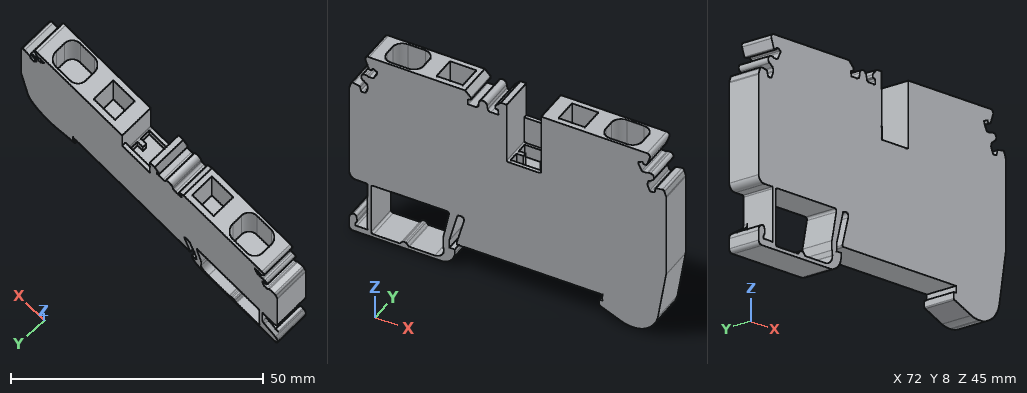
import cadquery as cq
import math


LENGTH = 72.0
THICKNESS = 8.0
HEIGHT = 45.0
BACK_Y = THICKNESS / 2
MID_X = LENGTH / 2

SHOULDER_Z = 35.7
BODY_LEFT_Z = 13.0
RAIL_TOP_Z = 5.5
BODY_CORNER_RADIUS = 1.6
SMALL_RADIUS = 0.3
EDGE_RADIUS = 0.1

MARKER_BEAD_APEX_X = 1.0
MARKER_BEAD_TOP_Z = 40.23
MARKER_BEAD_RADIUS = 0.85

GROOVE_X = 30.4
GROOVE_FLOOR_Z = 41.75
GROOVE_MOUTH = 4.05
GROOVE_LIP = 2.75
GROOVE_UNDERCUT = 3.5
GROOVE_LIP_Z = 43.1
GROOVE_UNDERCUT_Z = 42.9
GROOVE_UNDERCUT_RADIUS = 0.4
GROOVE_BEAD_TOP_Z = 43.93
GROOVE_BEAD_RADIUS = 0.95
GROOVE_BEAD_TILT = math.radians(8.7)
GROOVE_BEAD_FOOT_RADIUS = 0.7

SLOT_LEFT = 35.8
SLOT_RIGHT = 43.6
SLOT_FLOOR_Z = 30.7
SLOT_BACK_WALL_Z = 37.0
SLOT_BACK_WALL = 0.9
SLOT_CORNER_RADIUS = 0.4
CENTRE_POCKET_LENGTH = 6.95
CENTRE_POCKET_WIDTH = 5.65
CENTRE_POCKET_Y = -0.33
CENTRE_POCKET_DEPTH = 3.0
TAB_LENGTH = 1.55
TAB_WIDTH = 0.95

WIRE_OFFSET = 24.85
WIRE_LENGTH = 8.35
WIRE_WIDTH = 6.75
WIRE_RADIUS = 2.2
DRIVER_OFFSET = 13.85
DRIVER_LENGTH = 6.0
DRIVER_WIDTH = 5.45
OPENING_DEPTH = 15.0

LEG_LEFT = 4.15
LEG_RIGHT = 5.0
FOOT_FLOOR_Z = 0.85
WINDOW_RADIUS = 0.5
WINDOW_LOWER_RIGHT = 21.5
WINDOW_STEP_Z = 3.0
WINDOW_LOWER_RADIUS = 2.1
HOOK_FLOOR_Z = 1.5
FOOT_RIGHT = 24.0
FOOT_CATCH_Z = 4.1
FOOT_RADIUS = 3.2
RELIEF_MOUTH_X = 24.3
RELIEF_TOP_LEFT = 24.65
RELIEF_TOP_RIGHT = 26.35
RELIEF_RADIUS = 0.75
SPRING_LEFT = 21.35
SPRING_TOP_LEFT = 22.75
SPRING_RIGHT = 22.8
SPRING_BEND_Z = 6.1
BUMP_X = 12.55
BUMP_HALF = 1.0
BUMP_TOP_HALF = 0.4
BUMP_TOP_RADIUS = 0.4
BUMP_Z = 1.6
GUSSET_THICKNESS = 1.1
GUSSET_TOP_Z = 6.2
GUSSET_RADIUS = 1.1
HOOK_CORNER_Z = 3.7
HOOK_TIP_X = 1.5
HOOK_TIP_RADIUS = 0.55
HOOK_BULGE_X = 1.85
HOOK_BULGE_Z = 2.9
HOOK_ROOT_X = 1.2
HOOK_TOP_RADIUS = 1.2
HOOK_BOTTOM_RADIUS = 0.9
HOOK_SLOPE = (GUSSET_TOP_Z - HOOK_CORNER_Z) / LEG_LEFT
HOOK_TIP_Z = HOOK_CORNER_Z + HOOK_SLOPE * HOOK_TIP_X

FIXED_CATCH_X = 56.8
FIXED_CATCH_NECK = 57.5
FIXED_CATCH_Z = 4.05
FIXED_CATCH_LOWER_Z = 2.55
LOBE_RADIUS = 5.75
TAPER_FOOT_X = 69.35
CATCH_FLANK_FOOT_X = 62.9
SIDE_TAPER_Z = 16.3


def rounded_wire(vertices):
    """Closed wire on the XZ plane from (x, z, corner radius) vertices."""
    arcs = []
    for i, (x, z, radius) in enumerate(vertices):
        here = cq.Vector(x, z)
        before = (cq.Vector(*vertices[i - 1][:2]) - here).normalized()
        after = (cq.Vector(*vertices[(i + 1) % len(vertices)][:2]) - here).normalized()
        half_angle = before.getAngle(after) / 2
        setback = radius / math.tan(half_angle)
        bisector = (before + after).normalized()
        middle = here + bisector * (radius / math.sin(half_angle) - radius)
        arcs.append((radius, here + before * setback, middle, here + after * setback))
    wire = cq.Workplane("XZ").moveTo(*arcs[0][3].toTuple()[:2])
    for radius, start, middle, end in arcs[1:] + arcs[:1]:
        wire = wire.lineTo(start.x, start.y)
        if radius > 0:
            wire = wire.threePointArc((middle.x, middle.y), (end.x, end.y))
    return wire.close()


def extruded(vertices):
    """Prism of a rounded outline through the full thickness."""
    return rounded_wire(vertices).extrude(THICKNESS / 2, both=True)


def mirrored(vertices, axis_x):
    """The vertices reflected about a vertical axis, in reverse order."""
    return [(2 * axis_x - x, z, radius) for x, z, radius in reversed(vertices)]


def marker_teeth():
    """Left end from the shoulder up to the top face: three teeth and two notches."""
    return [
        (0, SHOULDER_Z, 0.6),
        (0.55, 37.25, 0.45),
        (2.45, 36.92, 0.25),
        (2.7, 35.68, 0.4),
        (3.7, 35.68, 0.3),
        (4.3, 37.2, 0.4),
        (4.1, 37.98, 0.2),
        (MARKER_BEAD_APEX_X, MARKER_BEAD_TOP_Z, MARKER_BEAD_RADIUS),
        (4.1, MARKER_BEAD_TOP_Z, 0.1),
        (4.4, 40.02, 0.1),
        (5.5, 40.02, 0.3),
        (6.45, 41.9, 0.2),
        (5.4, 42.45, 0.1),
        (5.15, 41.95, 0.15),
        (4.45, 41.95, 0.2),
        (3.35, HEIGHT, 0.75),
    ]


def marker_groove():
    """Undercut groove with a bead standing on the middle of its floor."""
    apex_z = GROOVE_BEAD_TOP_Z - GROOVE_BEAD_RADIUS + GROOVE_BEAD_RADIUS / math.sin(GROOVE_BEAD_TILT)
    foot_half = (apex_z - GROOVE_FLOOR_Z) * math.tan(GROOVE_BEAD_TILT)
    left_half = [
        (GROOVE_X - GROOVE_MOUTH, HEIGHT, 0),
        (GROOVE_X - GROOVE_LIP, HEIGHT - GROOVE_MOUTH + GROOVE_LIP, EDGE_RADIUS),
        (GROOVE_X - GROOVE_LIP, GROOVE_LIP_Z, EDGE_RADIUS),
        (GROOVE_X - GROOVE_UNDERCUT, GROOVE_UNDERCUT_Z, GROOVE_UNDERCUT_RADIUS),
        (GROOVE_X - GROOVE_UNDERCUT, GROOVE_FLOOR_Z, EDGE_RADIUS),
        (GROOVE_X - foot_half, GROOVE_FLOOR_Z, GROOVE_BEAD_FOOT_RADIUS),
    ]
    bead_apex = (GROOVE_X, apex_z, GROOVE_BEAD_RADIUS)
    return left_half + [bead_apex] + mirrored(left_half, GROOVE_X)


def fixed_foot():
    """Right end from the taper down around the lobe to the rail catch."""
    return [
        (LENGTH, SIDE_TAPER_Z, 0),
        (TAPER_FOOT_X, 0, LOBE_RADIUS),
        (CATCH_FLANK_FOOT_X, 0, LOBE_RADIUS),
        (FIXED_CATCH_X, FIXED_CATCH_LOWER_Z, SMALL_RADIUS),
        (FIXED_CATCH_X, FIXED_CATCH_Z, 0),
        (FIXED_CATCH_NECK, FIXED_CATCH_Z, 0),
        (FIXED_CATCH_NECK, RAIL_TOP_Z, 0),
    ]


def sprung_foot():
    """Relief slot, sprung leg, base and hook, ending at the left body corner."""
    return [
        (RELIEF_MOUTH_X, RAIL_TOP_Z, SMALL_RADIUS),
        (RELIEF_TOP_RIGHT, BODY_LEFT_Z, RELIEF_RADIUS),
        (RELIEF_TOP_LEFT, BODY_LEFT_Z, RELIEF_RADIUS),
        (SPRING_RIGHT, SPRING_BEND_Z, 0),
        (SPRING_RIGHT, FOOT_CATCH_Z, 0),
        (FOOT_RIGHT, FOOT_CATCH_Z, 0),
        (FOOT_RIGHT, 0, FOOT_RADIUS),
        (0, 0, HOOK_BOTTOM_RADIUS),
        (0, HOOK_CORNER_Z, HOOK_TOP_RADIUS),
        (HOOK_TIP_X, HOOK_TIP_Z, HOOK_TIP_RADIUS),
        (HOOK_BULGE_X, HOOK_BULGE_Z, SMALL_RADIUS),
        (HOOK_ROOT_X, HOOK_FLOOR_Z, SMALL_RADIUS),
        (LEG_LEFT, HOOK_FLOOR_Z, 0),
        (LEG_LEFT, BODY_LEFT_Z, SMALL_RADIUS),
        (0, BODY_LEFT_Z, BODY_CORNER_RADIUS),
    ]


def body():
    teeth = marker_teeth()
    right_teeth = mirrored(teeth, MID_X)
    return extruded(teeth + marker_groove() + right_teeth + fixed_foot() + sprung_foot())


def foot_window():
    """Opening between the body and the sprung foot."""
    return extruded([
        (LEG_RIGHT, BODY_LEFT_Z, WINDOW_RADIUS),
        (SPRING_TOP_LEFT, BODY_LEFT_Z, WINDOW_RADIUS),
        (SPRING_LEFT, SPRING_BEND_Z, 0),
        (SPRING_LEFT, FOOT_CATCH_Z, 0),
        (WINDOW_LOWER_RIGHT, WINDOW_STEP_Z, 0),
        (WINDOW_LOWER_RIGHT, FOOT_FLOOR_Z, WINDOW_LOWER_RADIUS),
        (BUMP_X + BUMP_HALF, FOOT_FLOOR_Z, EDGE_RADIUS),
        (BUMP_X + BUMP_TOP_HALF, BUMP_Z, BUMP_TOP_RADIUS),
        (BUMP_X - BUMP_TOP_HALF, BUMP_Z, BUMP_TOP_RADIUS),
        (BUMP_X - BUMP_HALF, FOOT_FLOOR_Z, EDGE_RADIUS),
        (LEG_RIGHT, FOOT_FLOOR_Z, WINDOW_RADIUS),
    ])


def gusset():
    """Thin web between leg and hook, flush with the +Y face."""
    gusset_left = HOOK_TIP_X / 2
    outline = [
        (LEG_LEFT, BODY_LEFT_Z, 0),
        (LEG_LEFT, GUSSET_TOP_Z, GUSSET_RADIUS),
        (gusset_left, HOOK_CORNER_Z + HOOK_SLOPE * gusset_left, 0),
        (gusset_left, FOOT_FLOOR_Z, 0),
        (LEG_RIGHT, FOOT_FLOOR_Z, 0),
        (LEG_RIGHT, BODY_LEFT_Z, 0),
    ]
    return rounded_wire(outline).extrude(GUSSET_THICKNESS).translate((0, BACK_Y, 0))


def box_between(x0, x1, y0, y1, z0, z1):
    """Box given by its limits along each axis."""
    return cq.Workplane("XY").box(x1 - x0, y1 - y0, z1 - z0, centered=False).translate((x0, y0, z0))


def centre_slot():
    """Slot through the top that leaves a low wall at the +Y face."""
    wall_y = BACK_Y - SLOT_BACK_WALL
    upper = box_between(SLOT_LEFT, SLOT_RIGHT, -BACK_Y, BACK_Y, SLOT_BACK_WALL_Z, HEIGHT)
    lower = box_between(SLOT_LEFT, SLOT_RIGHT, -BACK_Y, wall_y, SLOT_FLOOR_Z, SLOT_BACK_WALL_Z)
    lower = lower.edges("|Y and <Z").fillet(SLOT_CORNER_RADIUS)
    return upper.union(lower)


def centre_pocket():
    """Rectangular pocket in the slot floor with a tab standing at each end."""
    slot_x = (SLOT_LEFT + SLOT_RIGHT) / 2
    floor = cq.Workplane("XY", origin=(slot_x, CENTRE_POCKET_Y, SLOT_FLOOR_Z))
    pocket = floor.rect(CENTRE_POCKET_LENGTH, CENTRE_POCKET_WIDTH).extrude(-CENTRE_POCKET_DEPTH)
    tab_x = (CENTRE_POCKET_LENGTH - TAB_LENGTH) / 2
    tabs = (
        floor.pushPoints([(-tab_x, 0), (tab_x, 0)])
        .rect(TAB_LENGTH, TAB_WIDTH)
        .extrude(-CENTRE_POCKET_DEPTH)
    )
    return pocket.cut(tabs)


def top_openings():
    """Wire entries and screwdriver entries, one of each at both ends."""
    top = cq.Workplane("XY", origin=(MID_X, 0, HEIGHT))
    wires = (
        top.pushPoints([(-WIRE_OFFSET, 0), (WIRE_OFFSET, 0)])
        .rect(WIRE_LENGTH, WIRE_WIDTH)
        .extrude(-OPENING_DEPTH)
        .edges("|Z")
        .fillet(WIRE_RADIUS)
    )
    drivers = (
        top.pushPoints([(-DRIVER_OFFSET, 0), (DRIVER_OFFSET, 0)])
        .rect(DRIVER_LENGTH, DRIVER_WIDTH)
        .extrude(-OPENING_DEPTH)
    )
    return wires.union(drivers)


result = (
    body()
    .union(gusset())
    .cut(foot_window())
    .cut(centre_slot())
    .cut(centre_pocket())
    .cut(top_openings())
)